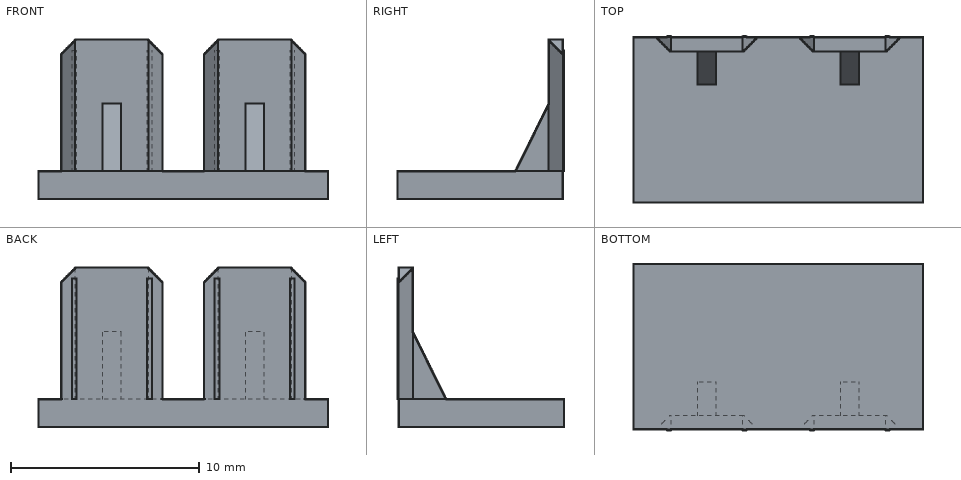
import cadquery as cq

BASE_LENGTH = 15.4
BASE_DEPTH = 8.8
BASE_THICKNESS = 1.5
TOTAL_HEIGHT = 8.5

TAB_PITCH = 7.6
TAB_WIDTH = 5.4
TAB_THICKNESS = 0.75
TAB_HEIGHT = TOTAL_HEIGHT - BASE_THICKNESS
FRONT_CHAMFER = TAB_THICKNESS
TOP_CHAMFER = 0.8

GUSSET_WIDTH = 1.0
GUSSET_HEIGHT = 3.58
GUSSET_DEPTH = 1.77

CRUSH_RIB_RADIUS = 0.15
CRUSH_RIB_PROJECTION = 0.07
CRUSH_RIB_SPACING = 4.0
CRUSH_RIB_HEIGHT = 6.4

TAB_FRONT_Y = -TAB_THICKNESS
TAB_CENTERS_X = (-TAB_PITCH / 2, TAB_PITCH / 2)


def make_base():
    """Rectangular plate running forward from the rear face."""
    plate = cq.Workplane("XY").box(BASE_LENGTH, BASE_DEPTH, BASE_THICKNESS, centered=(True, False, False))
    return plate.translate((0, -BASE_DEPTH, 0))


def make_tab():
    """Upright blade with tapered front sides and cut top corners, centered on X = 0."""
    half_width = TAB_WIDTH / 2
    half_front = half_width - FRONT_CHAMFER
    tapered_blade = (
        cq.Workplane("XY", origin=(0, 0, BASE_THICKNESS))
        .moveTo(-half_width, 0)
        .lineTo(-half_front, TAB_FRONT_Y)
        .lineTo(half_front, TAB_FRONT_Y)
        .lineTo(half_width, 0)
        .close()
        .extrude(TAB_HEIGHT)
    )

    half_top = half_width - TOP_CHAMFER
    shoulder_z = TOTAL_HEIGHT - TOP_CHAMFER
    front_outline = (
        cq.Workplane("XZ")
        .moveTo(-half_width, BASE_THICKNESS)
        .lineTo(half_width, BASE_THICKNESS)
        .lineTo(half_width, shoulder_z)
        .lineTo(half_top, TOTAL_HEIGHT)
        .lineTo(-half_top, TOTAL_HEIGHT)
        .lineTo(-half_width, shoulder_z)
        .close()
        .extrude(TAB_THICKNESS)
    )
    return tapered_blade.intersect(front_outline)


def make_gusset():
    """Triangular brace between the tab's front face and the base, centered on X = 0."""
    return (
        cq.Workplane("YZ")
        .moveTo(TAB_FRONT_Y, BASE_THICKNESS)
        .lineTo(TAB_FRONT_Y - GUSSET_DEPTH, BASE_THICKNESS)
        .lineTo(TAB_FRONT_Y, BASE_THICKNESS + GUSSET_HEIGHT)
        .close()
        .extrude(GUSSET_WIDTH / 2, both=True)
    )


def make_crush_ribs():
    """Pair of vertical round ribs, mostly buried in the tab, starting at the base's top face."""
    axis_y = CRUSH_RIB_PROJECTION - CRUSH_RIB_RADIUS
    half_spacing = CRUSH_RIB_SPACING / 2
    return (
        cq.Workplane("XY", origin=(0, 0, BASE_THICKNESS))
        .pushPoints([(-half_spacing, axis_y), (half_spacing, axis_y)])
        .circle(CRUSH_RIB_RADIUS)
        .extrude(CRUSH_RIB_HEIGHT)
    )


braced_tab = make_tab().union(make_gusset()).union(make_crush_ribs())

result = make_base()
for center_x in TAB_CENTERS_X:
    result = result.union(braced_tab.translate((center_x, 0, 0)))